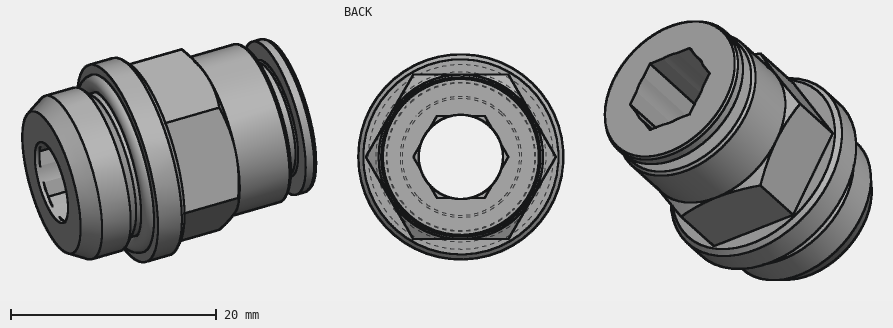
import cadquery as cq
import math

LENGTH = 24.8

THREAD_RADIUS = 8.28
THREAD_TIP_RADIUS = 7.2
THREAD_TIP_LENGTH = 1.8
THREAD_END = 4.84
UNDERCUT_RADIUS = 7.27
UNDERCUT_START = THREAD_END + THREAD_RADIUS - UNDERCUT_RADIUS

RING_RADIUS = 9.0
RING_SECTION_RADIUS = 0.9
FLANGE_RADIUS = 10.0
FLANGE_START = 7.0
FLANGE_END = 10.02
FLANGE_CHAMFER = 0.5

BODY_RADIUS = 8.0
HEX_ACROSS_FLATS = 2 * BODY_RADIUS
HEX_CORNER_RADIUS = BODY_RADIUS / math.cos(math.radians(30))
HEX_END = 16.52
HEX_CHAMFER_ANGLE = 30
BODY_CHAMFER = 0.3
BODY_END = 22.07
BODY_CONE_RISE = 0.2

COLLAR_NECK_RADIUS = 5.7
COLLAR_RADIUS = 7.75
COLLAR_START = 23.6
COLLAR_CHAMFER = 0.3
COLLAR_CHAMFER_DEPTH = 0.17
NECK_CHAMFER = 0.2

BORE_RADIUS = 4.1
SOCKET_ACROSS_FLATS = 8.0
SOCKET_START = 0.5


def hexagon(across_flats, start, end):
    """Hexagonal bar along Y with two corners on the X axis."""
    corner_diameter = across_flats / math.cos(math.radians(30))
    plane = cq.Workplane("XZ", origin=(0, start, 0))
    return plane.polygon(6, corner_diameter).extrude(start - end)


def revolve_about_y(profile):
    return profile.close().revolve(360, (0, 0, 0), (0, 1, 0))


def turned_body():
    profile = (
        cq.Workplane("XY")
        .lineTo(THREAD_TIP_RADIUS, 0)
        .lineTo(THREAD_RADIUS, THREAD_TIP_LENGTH)
        .lineTo(THREAD_RADIUS, THREAD_END)
        .lineTo(UNDERCUT_RADIUS, UNDERCUT_START)
        .lineTo(UNDERCUT_RADIUS, FLANGE_START)
        .lineTo(FLANGE_RADIUS, FLANGE_START)
        .lineTo(FLANGE_RADIUS, FLANGE_END - FLANGE_CHAMFER)
        .lineTo(FLANGE_RADIUS - FLANGE_CHAMFER, FLANGE_END)
        .lineTo(BODY_RADIUS, FLANGE_END)
        .lineTo(BODY_RADIUS, BODY_END - BODY_CHAMFER)
        .lineTo(BODY_RADIUS - BODY_CHAMFER, BODY_END)
        .lineTo(COLLAR_NECK_RADIUS, BODY_END + BODY_CONE_RISE)
        .lineTo(COLLAR_NECK_RADIUS, COLLAR_START - NECK_CHAMFER)
        .lineTo(COLLAR_NECK_RADIUS + NECK_CHAMFER, COLLAR_START)
        .lineTo(COLLAR_RADIUS, COLLAR_START)
        .lineTo(COLLAR_RADIUS, LENGTH - COLLAR_CHAMFER)
        .lineTo(COLLAR_RADIUS - COLLAR_CHAMFER_DEPTH, LENGTH)
        .lineTo(0, LENGTH)
    )
    return revolve_about_y(profile)


def sealing_ring():
    """Round-section ring half sunk in the flange face."""
    section_center = (RING_RADIUS - RING_SECTION_RADIUS, FLANGE_START)
    section = cq.Workplane("XY").moveTo(*section_center).circle(RING_SECTION_RADIUS)
    return section.revolve(360, (0, 0, 0), (0, 1, 0))


def spanner_hexagon():
    """Hexagon whose corners are turned off by a cone meeting the body."""
    chamfer_length = (HEX_CORNER_RADIUS - BODY_RADIUS) * math.tan(math.radians(HEX_CHAMFER_ANGLE))
    cone = revolve_about_y(
        cq.Workplane("XY")
        .moveTo(0, FLANGE_END)
        .lineTo(HEX_CORNER_RADIUS, FLANGE_END)
        .lineTo(HEX_CORNER_RADIUS, HEX_END - chamfer_length)
        .lineTo(BODY_RADIUS, HEX_END)
        .lineTo(0, HEX_END)
    )
    return hexagon(HEX_ACROSS_FLATS, FLANGE_END, HEX_END).intersect(cone)


def bore():
    round_bore = cq.Workplane("XZ").circle(BORE_RADIUS).extrude(-LENGTH)
    return round_bore.union(hexagon(SOCKET_ACROSS_FLATS, SOCKET_START, LENGTH))


result = turned_body().union(sealing_ring()).union(spanner_hexagon()).cut(bore())